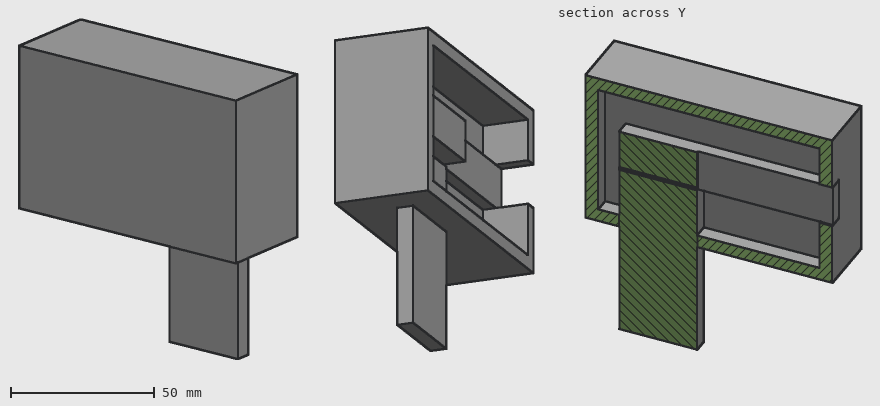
import cadquery as cq

housing_length = 95.0
housing_depth = 35.0
overall_height = 103.0
blade_reach = 43.1
housing_height = overall_height - blade_reach
wall = 5.0

notch_depth = 17.0
notch_height = 16.0
notch_drop = 20.0

bar_thickness = 4.9
block_rise = 8.1
block_height = 15.0
blade_thickness = 6.0
blade_width = 30.0
blade_offset = 52.0

left = -housing_length / 2
back = housing_depth / 2
pocket_floor = back - notch_depth
notch_top = housing_height - notch_drop
notch_bottom = notch_top - notch_height
blade_left = left + blade_offset
bar_length = blade_offset + blade_width


def box(size, corner):
    """Box with the given X, Y, Z size and its lowest X, Y, Z corner at the given place."""
    return cq.Workplane("XY").box(*size, centered=False).translate(corner)


def make_blade():
    """Flat blade, from its free lower end up to the lower edge of the bar."""
    return box(
        (blade_width, blade_thickness, blade_reach + notch_bottom),
        (blade_left, pocket_floor, -blade_reach),
    )


def make_housing():
    """Box with a rear pocket, a side notch for the bar and a bottom slot for the blade."""
    body = box((housing_length, housing_depth, housing_height), (left, -back, 0))
    pocket = box(
        (housing_length - 2 * wall, notch_depth, housing_height - 2 * wall),
        (left + wall, pocket_floor, wall),
    )
    notch = box((wall, notch_depth, notch_height), (left, pocket_floor, notch_bottom))
    return body.cut(pocket).cut(notch).cut(make_blade())


def make_latch():
    """Bar lying on the pocket floor, with the blade below it and the block on its rear face."""
    bar = box((bar_length, bar_thickness, notch_height), (left, pocket_floor, notch_bottom))
    block = box(
        (blade_width, block_rise, block_height),
        (blade_left, pocket_floor + bar_thickness, notch_top - block_height),
    )
    return bar.union(block).union(make_blade())


housing = make_housing()
latch = make_latch()

result = cq.Compound.makeCompound([housing.solids().val(), latch.solids().val()])